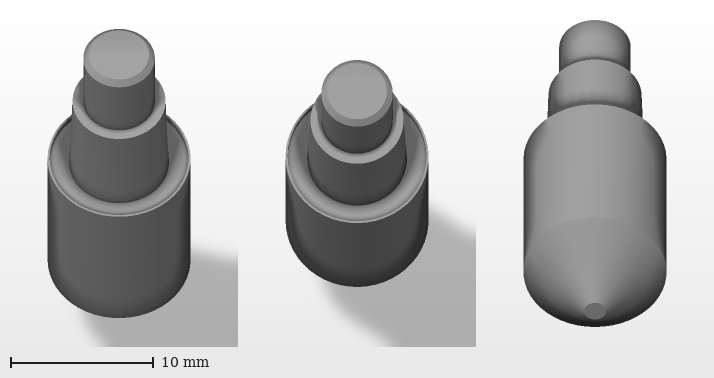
import cadquery as cq

total_height = 29.1
housing_top = 16.55
taper_top = 23.5
recess_depth = 0.5

housing_radius = 5.0
rim_wall = 0.15
tip_radius = 0.75
taper_base_radius = 3.5
taper_top_radius = 3.25
pin_radius = 2.5

bevel_height = 0.38
bevel_width = 0.4

cone_height = housing_radius - tip_radius
recess_floor = housing_top - recess_depth
recess_radius = housing_radius - rim_wall


def revolve_about_z(profile):
    """Turn a closed half-profile on the XZ plane into a solid of revolution."""
    return profile.revolve(360, (0, 0, 0), (0, 1, 0))


def make_housing():
    """Cylinder with a conical tip and a shallow recess inside a thin top rim."""
    profile = (
        cq.Workplane("XZ")
        .lineTo(tip_radius, 0)
        .lineTo(housing_radius, cone_height)
        .lineTo(housing_radius, housing_top)
        .lineTo(recess_radius, housing_top)
        .lineTo(recess_radius, recess_floor)
        .lineTo(0, recess_floor)
        .close()
    )
    return revolve_about_z(profile)


def make_pin():
    """Tapered neck standing on the recess floor, with a bevelled pin above it."""
    profile = (
        cq.Workplane("XZ")
        .moveTo(0, recess_floor)
        .lineTo(taper_base_radius, recess_floor)
        .lineTo(taper_top_radius, taper_top)
        .lineTo(pin_radius, taper_top)
        .lineTo(pin_radius, total_height - bevel_height)
        .lineTo(pin_radius - bevel_width, total_height)
        .lineTo(0, total_height)
        .close()
    )
    return revolve_about_z(profile)


housing = make_housing()
pin = make_pin()
result = cq.Compound.makeCompound([housing.val(), pin.val()])